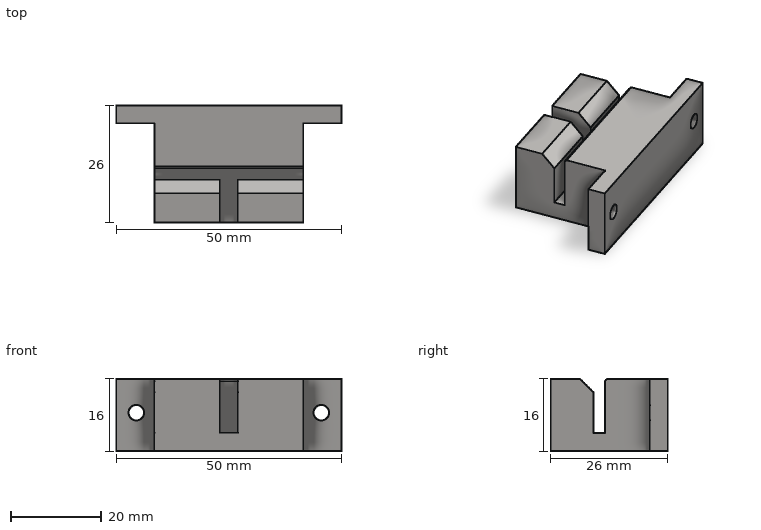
import cadquery as cq

flange_length = 50.0
depth = 26.0
height = 16.0

flange_thickness = 4.0
hole_diameter = 3.4
hole_spacing = 41.0
hole_height = 8.5

body_length = 33.0
front_wall_thickness = 9.5
floor_thickness = 4.0

groove_width = 2.5
front_chamfer = 3.0
back_chamfer = 0.5

slot_width = 4.0

flange_front = depth - flange_thickness
groove_front = front_wall_thickness
groove_back = groove_front + groove_width


def make_flange():
    """Full-length plate with a mounting hole at each end."""
    plate = (
        cq.Workplane("XY")
        .box(flange_length, flange_thickness, height, centered=(True, False, False))
        .translate((0, flange_front, 0))
    )
    holes = (
        cq.Workplane("XZ", origin=(0, depth, 0))
        .pushPoints([(side * hole_spacing / 2, hole_height) for side in (-1, 1)])
        .circle(hole_diameter / 2)
        .extrude(flange_thickness)
    )
    return plate.cut(holes)


def make_body():
    """Grooved profile in the YZ plane, extruded along X."""
    profile = [
        (0, 0),
        (flange_front, 0),
        (flange_front, height),
        (groove_back + back_chamfer, height),
        (groove_back, height - back_chamfer),
        (groove_back, floor_thickness),
        (groove_front, floor_thickness),
        (groove_front, height - front_chamfer),
        (groove_front - front_chamfer, height),
        (0, height),
    ]
    return cq.Workplane("YZ").polyline(profile).close().extrude(body_length / 2, both=True)


def make_slot():
    """Cutter that opens the front wall into the groove, down to the groove floor."""
    return (
        cq.Workplane("XY")
        .box(slot_width, groove_back, height - floor_thickness, centered=(True, False, False))
        .translate((0, 0, floor_thickness))
    )


part = make_body().cut(make_slot()).union(make_flange())

result = part.translate((0, -depth / 2, 0))